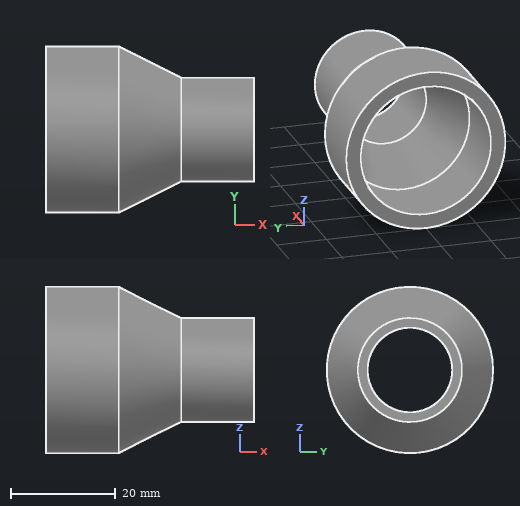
import cadquery as cq

total_length = 40.0
socket_length = 14.0
spigot_length = 14.0
wide_outer_diameter = 32.0
wide_bore_diameter = 26.2
narrow_outer_diameter = 20.0
narrow_bore_diameter = 16.2

wide_end = -total_length / 2
cone_start = wide_end + socket_length
narrow_end = total_length / 2
cone_end = narrow_end - spigot_length


def stepped_body(wide_diameter, narrow_diameter):
    """Revolve a wide cylinder, a cone and a narrow cylinder about the X axis."""
    wide_radius = wide_diameter / 2
    narrow_radius = narrow_diameter / 2
    return (
        cq.Workplane("XY")
        .moveTo(wide_end, 0)
        .lineTo(wide_end, wide_radius)
        .lineTo(cone_start, wide_radius)
        .lineTo(cone_end, narrow_radius)
        .lineTo(narrow_end, narrow_radius)
        .lineTo(narrow_end, 0)
        .close()
        .revolve(360, (0, 0, 0), (1, 0, 0))
    )


outer_body = stepped_body(wide_outer_diameter, narrow_outer_diameter)
bore = stepped_body(wide_bore_diameter, narrow_bore_diameter)
result = outer_body.cut(bore)